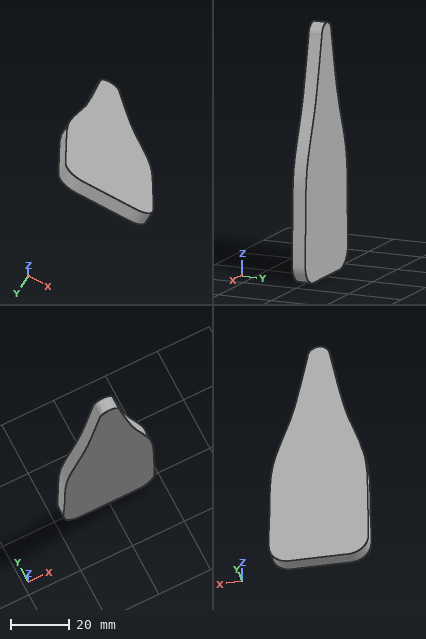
import cadquery as cq

height = 90.0
width = 35.0
thickness = 5.0
corner_radius = 7.0
side_top = 13.5
tip_radius = 4.0

half_width = width / 2
tip_start = height - tip_radius

flank = [
    (half_width, side_top),
    (17.2, 28.8),
    (16.0, 41.85),
    (13.2, 51.0),
    (9.45, 61.8),
    (6.75, 72.7),
    (tip_radius, tip_start),
]


def mirrored(points):
    """Reflect points to the -X side, listed from tip to body."""
    return [(-x, z) for x, z in reversed(points)]


outline = (
    cq.Workplane("XZ", origin=(0, thickness / 2, 0))
    .moveTo(-half_width, 0)
    .lineTo(half_width, 0)
    .lineTo(half_width, side_top)
    .spline(flank[1:], includeCurrent=True)
    .threePointArc((0, height), (-tip_radius, tip_start))
    .spline(mirrored(flank)[1:], includeCurrent=True)
    .close()
)

plate = outline.extrude(thickness)
result = plate.faces("<Z").edges("|Y").fillet(corner_radius)